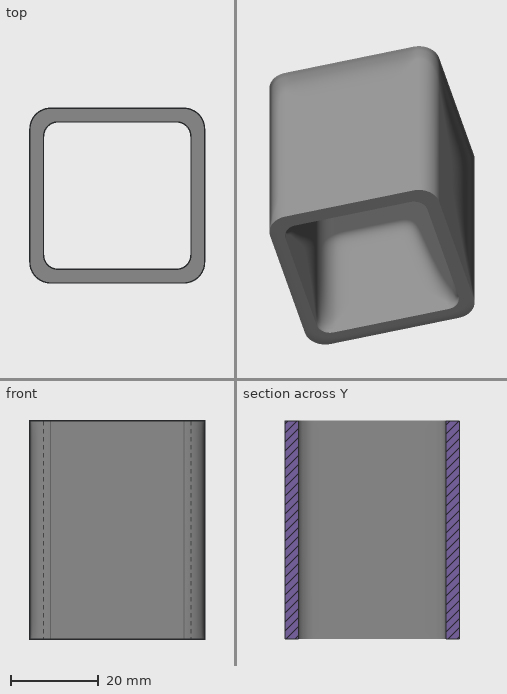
import cadquery as cq

side = 40.0
length = 50.0
wall = 3.2
outer_corner_radius = 1.5 * wall
inner_corner_radius = wall
bore_side = side - 2 * wall


def rounded_square_bar(width, corner_radius):
    """Square bar of the tube's length with rounded upright edges."""
    bar = cq.Workplane("XY").rect(width, width).extrude(length)
    return bar.edges("|Z").fillet(corner_radius)


outer_body = rounded_square_bar(side, outer_corner_radius)
bore = rounded_square_bar(bore_side, inner_corner_radius)

result = outer_body.cut(bore)